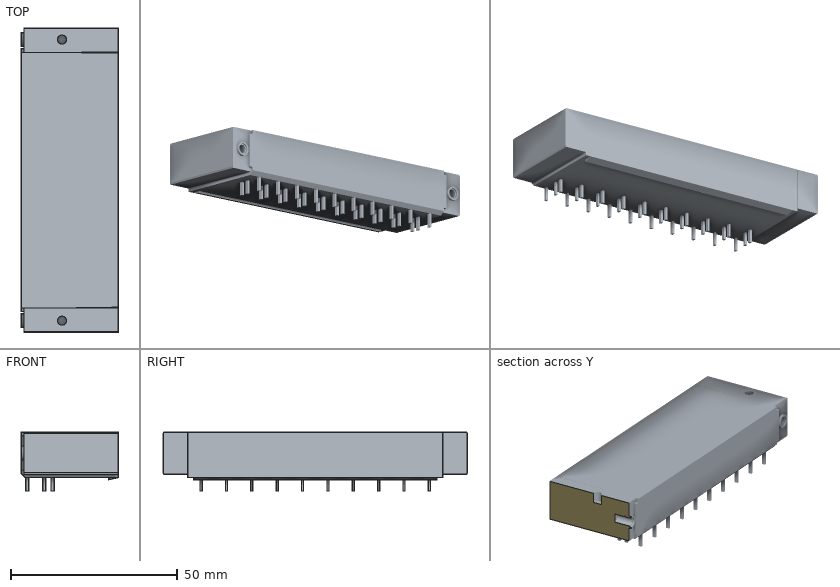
import cadquery as cq

DEPTH = 29.25
LENGTH = 91.44
HEIGHT = 17.77

CASE_LENGTH = 76.8
PIN_LENGTH = 4.07
CASE_BOTTOM = PIN_LENGTH
FRONT_CHAMFER = 1.25
TAPER_BREAK_X = 13.6
BREAK_INSET = 0.04
BACK_INSET = 0.15

BLOCK_FRONT = 0.85
BLOCK_HEIGHT = 12.7
BLOCK_BOTTOM = HEIGHT - BLOCK_HEIGHT
BLOCK_MIDDLE = BLOCK_BOTTOM + BLOCK_HEIGHT / 2
BLOCK_LENGTH = (LENGTH - CASE_LENGTH) / 2
EDGE_BEVEL_HEIGHT = 0.5
EDGE_BEVEL_LENGTH = 0.25

WING_LENGTH = 1.1
WING_HEIGHT = 10.2

HOLE_INSET = 3.5
BUSH_DIAMETER = 4.2
BUSH_BORE = 2.5
BUSH_BORE_DEPTH = 6.0
BUSH_RECESS_DIAMETER = 3.1
BUSH_RECESS_DEPTH = 0.5
TOP_HOLE_DIAMETER = 2.7
TOP_HOLE_DEPTH = 3.0
TOP_HOLE_X = 12.3

PIN_WIDTH_X = 1.0
PIN_WIDTH_Y = 0.7
PIN_COUNT = 10
PIN_GRID = 2.54
PIN_PITCH = 3 * PIN_GRID
PIN_EMBEDMENT = 1.25
FIRST_ROW_X = 1.87
ROW_X = [FIRST_ROW_X + step * PIN_GRID for step in (0, 2, 3)]

FOOT_LENGTH = 73.1
FOOT_FRONT_X = 26.3
FOOT_DROP = 0.65


def make_case():
    """Case with a bevelled lower front edge and ends that narrow towards the back."""
    half = CASE_LENGTH / 2
    half_at_break = half - BREAK_INSET
    half_at_back = half - BACK_INSET
    plan = [
        (0, -half),
        (BLOCK_FRONT, -half),
        (TAPER_BREAK_X, -half_at_break),
        (DEPTH, -half_at_back),
        (DEPTH, half_at_back),
        (TAPER_BREAK_X, half_at_break),
        (BLOCK_FRONT, half),
        (0, half),
    ]
    base = cq.Workplane("XY").workplane(offset=CASE_BOTTOM)
    case = base.polyline(plan).close().extrude(HEIGHT - CASE_BOTTOM)
    return case.faces("<X").edges("<Z").chamfer(FRONT_CHAMFER)


def make_end_block():
    """End block at the -Y end, with bevels along its outer edges, a bush and a top hole."""
    y_outer = -LENGTH / 2
    hole_y = y_outer + HOLE_INSET

    bottom = BLOCK_BOTTOM
    top = HEIGHT
    y_inner = y_outer + BLOCK_LENGTH
    y_bevel = y_outer + EDGE_BEVEL_LENGTH
    profile = [
        (y_inner, bottom),
        (y_bevel, bottom),
        (y_outer, bottom + EDGE_BEVEL_HEIGHT),
        (y_outer, top - EDGE_BEVEL_HEIGHT),
        (y_bevel, top),
        (y_inner, top),
    ]
    front_plane = cq.Workplane("YZ").workplane(offset=BLOCK_FRONT)
    block = front_plane.polyline(profile).close().extrude(DEPTH - BLOCK_FRONT)

    front = cq.Workplane("YZ").center(hole_y, BLOCK_MIDDLE)
    bush = front.circle(BUSH_DIAMETER / 2).extrude(BLOCK_FRONT)
    bore = front.circle(BUSH_BORE / 2).extrude(BUSH_BORE_DEPTH)
    recess = front.circle(BUSH_RECESS_DIAMETER / 2).extrude(BUSH_RECESS_DEPTH)

    top_hole = (
        cq.Workplane("XY", origin=(TOP_HOLE_X, hole_y, HEIGHT - TOP_HOLE_DEPTH))
        .circle(TOP_HOLE_DIAMETER / 2)
        .extrude(TOP_HOLE_DEPTH)
    )
    return block.union(bush).cut(bore).cut(recess).cut(top_hole)


def make_wings():
    """Thin front plate that reaches past both case ends over the end blocks."""
    width = CASE_LENGTH + 2 * WING_LENGTH
    return (
        cq.Workplane("XY")
        .box(BLOCK_FRONT, width, WING_HEIGHT, centered=(False, True, True))
        .translate((0, 0, BLOCK_MIDDLE))
    )


def make_pins():
    """Three rows of rectangular pins below the case."""
    offset = (PIN_COUNT - 1) / 2
    centres = [(x, (i - offset) * PIN_PITCH) for x in ROW_X for i in range(PIN_COUNT)]
    length = PIN_LENGTH + PIN_EMBEDMENT
    return cq.Workplane("XY").pushPoints(centres).rect(PIN_WIDTH_X, PIN_WIDTH_Y).extrude(length)


def make_foot():
    """Wedge under the back edge, deepest at its front."""
    return (
        cq.Workplane("XZ", origin=(0, FOOT_LENGTH / 2, 0))
        .polyline([
            (FOOT_FRONT_X, CASE_BOTTOM),
            (FOOT_FRONT_X, CASE_BOTTOM - FOOT_DROP),
            (DEPTH, CASE_BOTTOM),
        ])
        .close()
        .extrude(FOOT_LENGTH)
    )


end_block = make_end_block()
result = (
    make_case()
    .union(make_wings())
    .union(end_block)
    .union(end_block.mirror("XZ"))
    .union(make_pins())
    .union(make_foot())
)